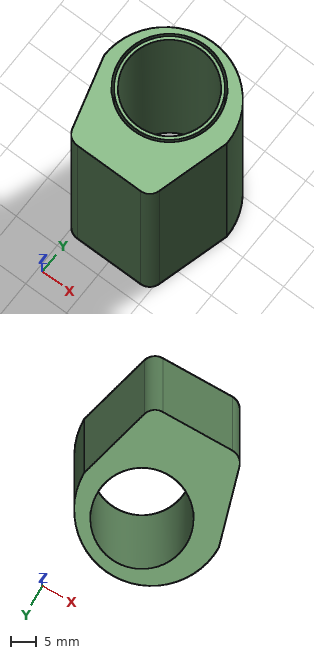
import cadquery as cq

height = 50.8
body_depth = 33.0
round_radius = 15.01
base_width = 20.0
base_corner_radius = 3.0

bore_diameter = 20.0
bore_x = -0.8
bore_y = 2.35

groove_outer_diameter = 22.5
groove_inner_diameter = 21.5
groove_depth = 25.4


def make_body():
    """Extrude the outline; the origin is the centre of the half-round back."""
    base_y = round_radius - body_depth
    half_base = base_width / 2
    outline = (
        cq.Workplane("XY")
        .moveTo(-half_base, base_y)
        .lineTo(half_base, base_y)
        .lineTo(round_radius, 0)
        .threePointArc((0, round_radius), (-round_radius, 0))
        .close()
    )
    body = outline.extrude(height)
    front_corners = body.faces("<Y").edges("|Z")
    return front_corners.fillet(base_corner_radius)


def make_bore():
    return cq.Workplane("XY").center(bore_x, bore_y).circle(bore_diameter / 2).extrude(height)


def make_groove():
    return (
        cq.Workplane("XY", origin=(bore_x, bore_y, height))
        .circle(groove_outer_diameter / 2)
        .circle(groove_inner_diameter / 2)
        .extrude(-groove_depth)
    )


result = make_body().cut(make_bore()).cut(make_groove())